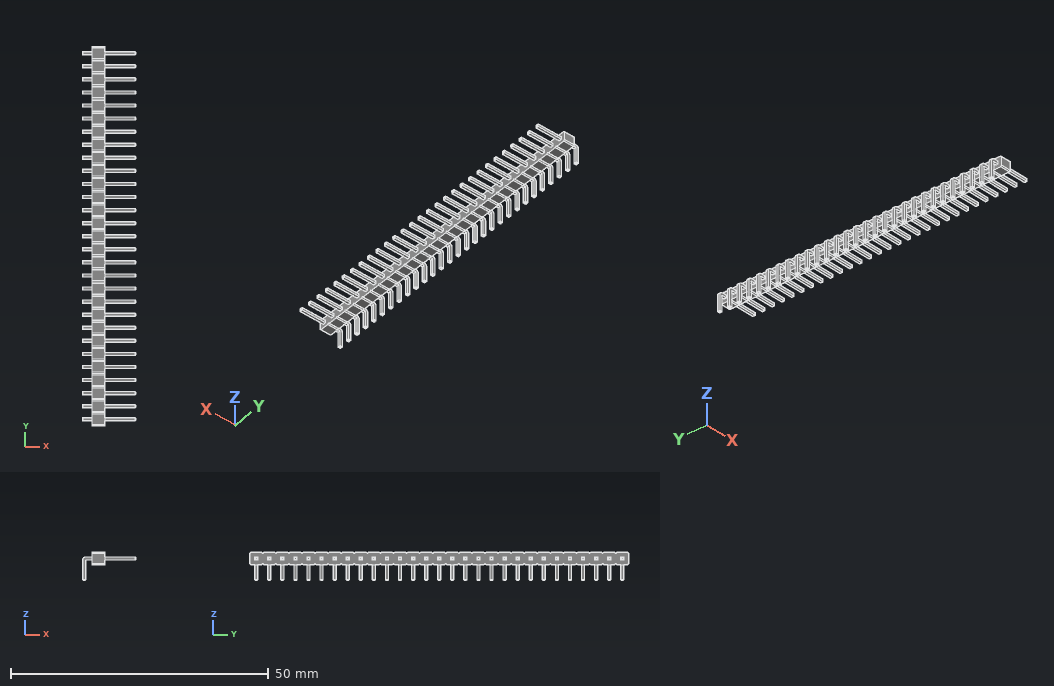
import cadquery as cq
import math

pin_count = 29
strip_length = 73.65
pitch = strip_length / pin_count

overall_width = 10.4
overall_height = 5.5

body_width = 2.5
body_height = 2.5
body_left = 1.85
notch_depth = 0.25

pin_size = 0.64
tip_bevel = 0.16

body_bottom = overall_height - body_height
arm_top = body_bottom + (body_height + pin_size) / 2
arm_bottom = arm_top - pin_size


def make_cell():
    """One cell of the strip, bevelled along its four edges parallel to X."""
    return (
        cq.Workplane("XY")
        .box(body_width, pitch, body_height, centered=(False, True, False))
        .edges("|X")
        .chamfer(notch_depth)
        .translate((body_left, 0, body_bottom))
    )


def make_pin():
    """One bent square pin with a rounded outer bend and bevelled tips."""
    bend_reach = pin_size * math.sqrt(0.5)
    bend_middle = (pin_size - bend_reach, arm_bottom + bend_reach)
    return (
        cq.Workplane("XZ")
        .moveTo(0, 0)
        .lineTo(0, arm_bottom)
        .threePointArc(bend_middle, (pin_size, arm_top))
        .lineTo(overall_width, arm_top)
        .lineTo(overall_width, arm_bottom)
        .lineTo(pin_size, arm_bottom)
        .lineTo(pin_size, 0)
        .close()
        .extrude(pin_size / 2, both=True)
        .faces("<Z or >X")
        .chamfer(tip_bevel)
    )


pinned_cell = make_cell().union(make_pin())

result = cq.Workplane("XY")
for index in range(pin_count):
    cell_y = (index - (pin_count - 1) / 2) * pitch
    result = result.union(pinned_cell.translate((0, cell_y, 0)))